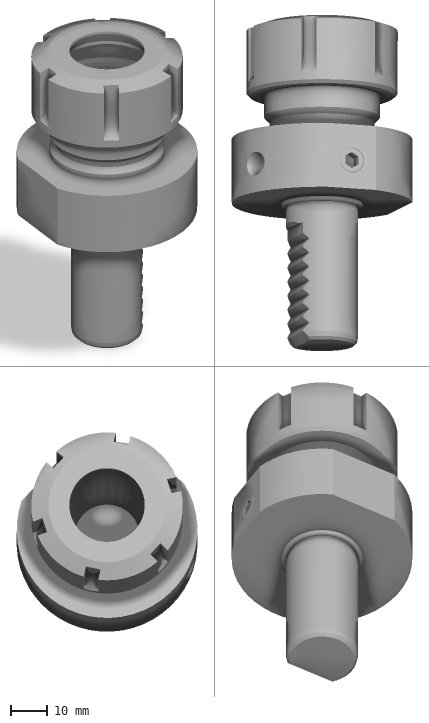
import cadquery as cq
import math


FLANGE_RADIUS = 25.0
FLANGE_HEIGHT = 18.0
SCREW_FLAT_WIDTH = 14.2
PLAIN_FLAT_WIDTH = 19.8
FLAT_X = -math.sqrt(FLANGE_RADIUS**2 - (SCREW_FLAT_WIDTH / 2) ** 2)
FLAT_Y = -math.sqrt(FLANGE_RADIUS**2 - (PLAIN_FLAT_WIDTH / 2) ** 2)
HOLE_Z = 8.0

SHANK_RADIUS = 10.0
SHANK_BOTTOM = -40.0
SHANK_TAPER_TOP = -37.8
SHANK_CHAMFER_TOP = -39.15
SHANK_CHAMFER_RADIUS = 9.7
SHANK_END_RADIUS = 8.9
RELIEF_RADIUS = 9.7
RELIEF_STRAIGHT_END = -1.3
RELIEF_END = -2.4

RACK_Y = 7.8
RACK_TOP = -7.0
RACK_SHOULDER_Y = 8.6
RACK_SHOULDER_RISE = 1.0
GROOVE_COUNT = 7
GROOVE_PITCH = 4.0
GROOVE_DEPTH = 1.35
GROOVE_HALF_WIDTH = 1.6
FIRST_GROOVE_Z = -11.6
RACK_BEVEL_WIDTH = 1.9
RACK_BEVEL_HEIGHT = 2.3

COLLAR_RADIUS = 16.0
COLLAR_GROOVE_RADIUS = 14.5
COLLAR_LOWER_RIM = 1.6
COLLAR_GROOVE_SLOPE = 1.5
COLLAR_GROOVE_FLOOR = 1.5
THREAD_RADIUS = 15.3
SEAT_MOUTH_RADIUS = 13.0
SEAT_FLOOR_RADIUS = 9.0
SEAT_HALF_ANGLE = 8

NUT_TOP = 50.0
NUT_HEIGHT = 19.9
NUT_RADIUS = 21.0
NUT_TOP_RADIUS = 16.2
NUT_TOP_BEVEL = 1.7
NUT_BOTTOM_CHAMFER = 0.9
NUT_BOTTOM = NUT_TOP - NUT_HEIGHT
UNDERCUT_TOP = NUT_TOP - 8.2
UNDERCUT_BOTTOM = NUT_TOP - 11.4
UNDERCUT_RADIUS = 16.0
COLLAR_TOP = NUT_TOP - 12.5

SLOT_COUNT = 6
SLOT_WIDTH = 4.1
SLOT_FLOOR_RADIUS = 18.1
SLOT_STRAIGHT = 9.8
SLOT_RUNOUT_RADIUS = 10.0
SLOT_LEDGE = 0.1

RING_RADIUS = 15.8
RING_HEIGHT = 5.2
RING_OPENING_RADIUS = 10.4
RING_LAND = 0.7
RING_CONE_RADIUS = 12.6
RING_CONE_END = 4.2

SEAL_SECTION_RADIUS = 0.8
SEAL_Z = -0.45
SEAL_RADIUS = RELIEF_RADIUS + SEAL_SECTION_RADIUS

SCREW_DIAMETER = 7.0
SCREW_LENGTH = 9.0
SCREW_CHAMFER = 0.2
SOCKET_ACROSS_FLATS = 3.9
SOCKET_DEPTH = 3.6

COOLANT_DIAMETER = 6.7
COOLANT_X = -9.4
COOLANT_END_Y = 12.6


def turned(profile):
    """Revolve a closed list of (radius, z) points about Z."""
    return cq.Workplane("XZ").polyline(profile).close().revolve(360, (0, 0, 0), (0, 1, 0))


def make_shank():
    return turned([
        (0, 0),
        (RELIEF_RADIUS, 0),
        (RELIEF_RADIUS, RELIEF_STRAIGHT_END),
        (SHANK_RADIUS, RELIEF_END),
        (SHANK_RADIUS, SHANK_TAPER_TOP),
        (SHANK_CHAMFER_RADIUS, SHANK_CHAMFER_TOP),
        (SHANK_END_RADIUS, SHANK_BOTTOM),
        (0, SHANK_BOTTOM),
    ])


def prism_along_x(profile):
    """Extrude a closed list of (y, z) points across the full width of the shank."""
    return cq.Workplane("YZ").polyline(profile).close().extrude(SHANK_RADIUS, both=True)


def make_rack_cut():
    """Material removed from the shank: flat, V grooves and end bevel."""
    outside = SHANK_RADIUS + RACK_SHOULDER_RISE
    cut = prism_along_x([
        (RACK_Y, SHANK_BOTTOM),
        (RACK_Y, RACK_TOP),
        (RACK_SHOULDER_Y, RACK_TOP),
        (SHANK_RADIUS, RACK_TOP + RACK_SHOULDER_RISE),
        (outside, RACK_TOP + RACK_SHOULDER_RISE),
        (outside, SHANK_BOTTOM),
    ])
    for i in range(GROOVE_COUNT):
        z = FIRST_GROOVE_Z - i * GROOVE_PITCH
        cut = cut.union(prism_along_x([
            (RACK_Y, z + GROOVE_HALF_WIDTH),
            (RACK_Y - GROOVE_DEPTH, z),
            (RACK_Y, z - GROOVE_HALF_WIDTH),
        ]))
    end_bevel = prism_along_x([
        (RACK_Y, SHANK_BOTTOM + RACK_BEVEL_HEIGHT),
        (RACK_Y - RACK_BEVEL_WIDTH, SHANK_BOTTOM),
        (RACK_Y, SHANK_BOTTOM),
    ])
    return cut.union(end_bevel)


def make_flange():
    disc = cq.Workplane("XY").circle(FLANGE_RADIUS).extrude(FLANGE_HEIGHT)
    keep = cq.Workplane("XY").box(
        FLANGE_RADIUS - FLAT_X, FLANGE_RADIUS - FLAT_Y, FLANGE_HEIGHT, centered=False
    )
    return disc.intersect(keep.translate((FLAT_X, FLAT_Y, 0)))


def make_collar():
    groove_bottom = FLANGE_HEIGHT + COLLAR_LOWER_RIM
    floor_bottom = groove_bottom + COLLAR_GROOVE_SLOPE
    floor_top = floor_bottom + COLLAR_GROOVE_FLOOR
    groove_top = floor_top + COLLAR_GROOVE_SLOPE
    return turned([
        (0, FLANGE_HEIGHT),
        (COLLAR_RADIUS, FLANGE_HEIGHT),
        (COLLAR_RADIUS, groove_bottom),
        (COLLAR_GROOVE_RADIUS, floor_bottom),
        (COLLAR_GROOVE_RADIUS, floor_top),
        (COLLAR_RADIUS, groove_top),
        (COLLAR_RADIUS, NUT_BOTTOM),
        (THREAD_RADIUS, NUT_BOTTOM),
        (THREAD_RADIUS, COLLAR_TOP),
        (0, COLLAR_TOP),
    ])


def make_collet_seat():
    depth = (SEAT_MOUTH_RADIUS - SEAT_FLOOR_RADIUS) / math.tan(math.radians(SEAT_HALF_ANGLE))
    return turned([
        (0, COLLAR_TOP),
        (SEAT_MOUTH_RADIUS, COLLAR_TOP),
        (SEAT_FLOOR_RADIUS, COLLAR_TOP - depth),
        (0, COLLAR_TOP - depth),
    ])


def make_screw_blank():
    return (
        cq.Workplane("YZ", origin=(FLAT_X, 0, HOLE_Z))
        .circle(SCREW_DIAMETER / 2)
        .extrude(SCREW_LENGTH)
    )


def make_coolant_hole():
    return (
        cq.Workplane("XZ", origin=(COOLANT_X, FLANGE_RADIUS, HOLE_Z))
        .circle(COOLANT_DIAMETER / 2)
        .extrude(FLANGE_RADIUS - COOLANT_END_Y)
    )


def make_seal():
    return (
        cq.Workplane("XZ")
        .center(SEAL_RADIUS, SEAL_Z)
        .circle(SEAL_SECTION_RADIUS)
        .revolve(360, (-SEAL_RADIUS, 0, 0), (-SEAL_RADIUS, 1, 0))
    )


def make_holder():
    shank = make_shank().cut(make_rack_cut())
    holder = make_flange().union(shank).union(make_collar())
    holder = holder.cut(make_collet_seat()).cut(make_coolant_hole())
    return holder.cut(make_screw_blank()).cut(make_seal())


def make_screw():
    socket = (
        cq.Workplane("YZ", origin=(FLAT_X, 0, HOLE_Z))
        .transformed(rotate=(0, 0, 90))
        .polygon(6, SOCKET_ACROSS_FLATS / math.cos(math.pi / 6))
        .extrude(SOCKET_DEPTH)
    )
    return make_screw_blank().faces("<X").chamfer(SCREW_CHAMFER).cut(socket)


def make_slot():
    """One spanner slot on the +X side, running out to the nut's surface along an arc."""
    arc_top = NUT_TOP - SLOT_STRAIGHT
    arc_angle = math.acos(1 - (NUT_RADIUS - SLOT_LEDGE - SLOT_FLOOR_RADIUS) / SLOT_RUNOUT_RADIUS)

    def arc_point(angle):
        return (
            SLOT_FLOOR_RADIUS + SLOT_RUNOUT_RADIUS * (1 - math.cos(angle)),
            arc_top - SLOT_RUNOUT_RADIUS * math.sin(angle),
        )

    return (
        cq.Workplane("XZ")
        .moveTo(SLOT_FLOOR_RADIUS, NUT_TOP)
        .lineTo(SLOT_FLOOR_RADIUS, arc_top)
        .threePointArc(arc_point(arc_angle / 2), arc_point(arc_angle))
        .hLineTo(NUT_RADIUS)
        .vLineTo(NUT_TOP)
        .close()
        .extrude(SLOT_WIDTH / 2, both=True)
    )


def make_nut():
    nut = turned([
        (RING_RADIUS, NUT_TOP),
        (NUT_TOP_RADIUS, NUT_TOP),
        (NUT_RADIUS, NUT_TOP - NUT_TOP_BEVEL),
        (NUT_RADIUS, NUT_BOTTOM + NUT_BOTTOM_CHAMFER),
        (NUT_RADIUS - NUT_BOTTOM_CHAMFER, NUT_BOTTOM),
        (THREAD_RADIUS, NUT_BOTTOM),
        (THREAD_RADIUS, COLLAR_TOP),
        (UNDERCUT_RADIUS, UNDERCUT_BOTTOM),
        (UNDERCUT_RADIUS, UNDERCUT_TOP),
        (RING_RADIUS, UNDERCUT_TOP),
    ])
    slot = make_slot()
    for i in range(SLOT_COUNT):
        angle = 90 + i * 360 / SLOT_COUNT
        nut = nut.cut(slot.rotate((0, 0, 0), (0, 0, 1), angle))
    return nut


def make_pressure_ring():
    bottom = NUT_TOP - RING_HEIGHT
    return turned([
        (RING_OPENING_RADIUS, NUT_TOP),
        (RING_RADIUS, NUT_TOP),
        (RING_RADIUS, bottom),
        (RING_CONE_RADIUS, bottom),
        (RING_CONE_RADIUS, NUT_TOP - RING_CONE_END),
        (RING_OPENING_RADIUS, NUT_TOP - RING_LAND),
    ])


holder = make_holder()
nut = make_nut()
pressure_ring = make_pressure_ring()
seal = make_seal()
screw = make_screw()

result = cq.Compound.makeCompound([
    holder.solids().val(),
    nut.solids().val(),
    pressure_ring.solids().val(),
    seal.solids().val(),
    screw.solids().val(),
])